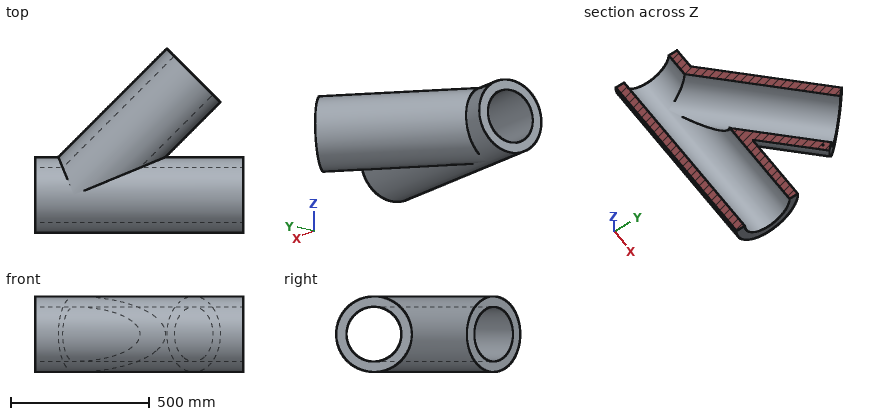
import cadquery as cq
import math

OUTER_DIAMETER = 273.05
BORE_DIAMETER = 196.85
RUN_LENGTH = 749.3
JUNCTION_OFFSET = 139.7
BRANCH_LENGTH = 609.6
BRANCH_ANGLE = 45.0

BRANCH_RADIANS = math.radians(BRANCH_ANGLE)
RUN_START = cq.Vector(-JUNCTION_OFFSET, 0, 0)
RUN_DIRECTION = cq.Vector(1, 0, 0)
JUNCTION = cq.Vector(0, 0, 0)
BRANCH_DIRECTION = cq.Vector(math.cos(BRANCH_RADIANS), math.sin(BRANCH_RADIANS), 0)


def cylinder(diameter, length, start, direction):
    """Solid cylinder whose axis leaves start along direction."""
    return cq.Workplane(obj=cq.Solid.makeCylinder(diameter / 2, length, start, direction))


def run_and_branch(diameter):
    """Solid lateral tee: a straight run joined by a branch of the same diameter."""
    run = cylinder(diameter, RUN_LENGTH, RUN_START, RUN_DIRECTION)
    branch = cylinder(diameter, BRANCH_LENGTH, JUNCTION, BRANCH_DIRECTION)
    return run.union(branch)


result = run_and_branch(OUTER_DIAMETER).cut(run_and_branch(BORE_DIAMETER))